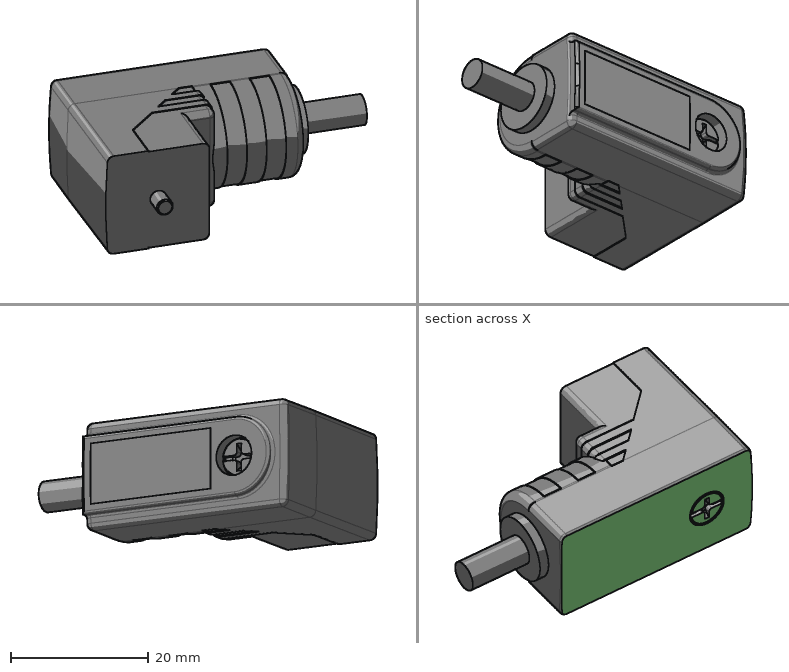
import cadquery as cq
import math


HALF_HEIGHT = 8.05
SEAM_X = 10.1
BODY_FRONT_X = 1.0
BODY_TOP_Y = 25.8
BOTTOM_Y = -8.15
CROWN = 0.3
DRAFT = math.tan(math.radians(0.25))
EDGE_RADIUS = 1.0
CROWN_RADIUS = (HALF_HEIGHT ** 2 + CROWN ** 2) / (2 * CROWN)

ELBOW_END_X = 28.0
FLANGE_TOP_Y = 7.85
SHOULDER_X = 18.57
SHOULDER_TOP_Y = 12.15
RECESS_DEPTH = 0.13

STRIPES = [(SEAM_X, 11.75, 9.1), (13.2, 14.85, 6.0)]
STRIPE_WALL_WIDTH = 0.12
PANEL_LEFT_X = 16.4
PANEL_CORNER_Y = 2.9
PANEL_BOTTOM_Y = -1.5

NECK_AXIS_X = 10.37
NECK_BOTTOM_Y = 11.1
NECK_EDGE_RADIUS = 1.2
GROOVE_DEPTH = 0.14
GROOVE_WIDTH = 3.0
GROOVE_BOTTOMS_Y = [13.85, 19.87]

CABLE_AXIS_X = 10.0
CABLE_DIAMETER = 4.6
CABLE_END_Y = 37.3
COLLAR_DIAMETER = 10.25
COLLAR_TOP_Y = 27.3

PIN_DIAMETER = 2.5
PIN_END_X = 31.19
PIN_CHAMFER = 0.2

PLATE_HALF_WIDTH = 5.85
PLATE_TOP_Y = 25.7
PLATE_BACK_X = 2.0
PLATE_RADIUS = 0.45
LABEL_DEPTH = 0.13
LABEL_HALF_WIDTH = 4.53
LABEL_BOTTOM_Y = 4.0
LABEL_TOP_Y = 24.15

SCREW_HOLE_DIAMETER = 5.95
SCREW_HEAD_DIAMETER = 5.45
SCREW_HEAD_X = 1.5
SCREW_GAP_DEPTH = 0.5
SLOT_WIDTH = 0.7
SLOT_DEPTH = 0.8
CROSS_WIDTH = 0.7
CROSS_HALF_LENGTH = 2.05
CROSS_FLOOR_HALF_LENGTH = 1.2
CROSS_DEPTH = 1.2
CROSS_CORNER_RADIUS = 0.5

FAR = 100.0
MARGIN = 0.1


def box(x0, x1, y0, y1, z0, z1):
    return cq.Workplane("XY").box(x1 - x0, y1 - y0, z1 - z0, centered=False).translate((x0, y0, z0))


def disc_x(x0, x1, diameter):
    """Cylinder along X on the pin axis."""
    return cq.Workplane("YZ").workplane(offset=x0).circle(diameter / 2).extrude(x1 - x0)


def disc_y(y0, y1, axis_x, diameter):
    """Cylinder along Y at Z = 0."""
    plane = cq.Workplane("XZ", origin=(axis_x, y0, 0))
    return plane.circle(diameter / 2).extrude(y0 - y1)


def drafted_block(far_x, top_y, inset=0.0):
    """Block from the seam to far_x with a crowned bottom, narrowing away from the seam."""
    def section(plane, shrink):
        half = HALF_HEIGHT - inset - shrink
        bottom = BOTTOM_Y + inset + shrink
        return (
            plane.moveTo(top_y, -half)
            .lineTo(bottom + CROWN, -half)
            .threePointArc((bottom, 0), (bottom + CROWN, half))
            .lineTo(top_y, half)
            .close()
        )

    length = far_x - SEAM_X
    seam_section = section(cq.Workplane("YZ", origin=(SEAM_X, 0, 0)), 0)
    far_section = section(seam_section.workplane(offset=length), abs(length) * DRAFT)
    return far_section.loft(ruled=True)


def crowned_front(x_front):
    """Long cylinder whose side forms a crowned front face with its crest at x_front."""
    return disc_y(2 * BOTTOM_Y, 2 * BODY_TOP_Y, x_front + CROWN_RADIUS, 2 * CROWN_RADIUS)


def make_body():
    body = drafted_block(0, BODY_TOP_Y).intersect(crowned_front(BODY_FRONT_X))
    off_the_seam = cq.selectors.BoxSelector((-FAR, -FAR, -FAR), (SEAM_X - MARGIN, FAR, FAR))
    return body.edges(off_the_seam).fillet(EDGE_RADIUS)


def make_elbow(inset=0.0):
    shoulder_top = SHOULDER_TOP_Y - inset
    outline = (
        cq.Workplane("XY")
        .moveTo(SEAM_X, 2 * BOTTOM_Y)
        .lineTo(ELBOW_END_X, 2 * BOTTOM_Y)
        .lineTo(ELBOW_END_X, FLANGE_TOP_Y)
        .lineTo(SHOULDER_X, FLANGE_TOP_Y)
        .lineTo(SHOULDER_X, shoulder_top)
        .lineTo(SEAM_X, shoulder_top)
        .close()
        .extrude(HALF_HEIGHT, both=True)
    )
    elbow = drafted_block(ELBOW_END_X, BODY_TOP_Y, inset).intersect(outline)
    between_ends = cq.selectors.BoxSelector(
        (SEAM_X + MARGIN, -FAR, -FAR), (ELBOW_END_X - MARGIN, FAR, FAR)
    )
    inner_corner = cq.selectors.BoxSelector(
        (SHOULDER_X - MARGIN, FLANGE_TOP_Y - MARGIN, -MARGIN),
        (SHOULDER_X + MARGIN, FLANGE_TOP_Y + MARGIN, MARGIN),
    )
    return elbow.edges(cq.selectors.SubtractSelector(between_ends, inner_corner)).fillet(EDGE_RADIUS)


def recess_prism(points):
    """Prism through the full height, used to clear a recessed region of the elbow."""
    return cq.Workplane("XY").polyline(points).close().extrude(HALF_HEIGHT + MARGIN, both=True)


def stripe_section(left, right):
    """Long bar along Y whose right side slopes where a stripe meets the neighbouring rib."""
    floor_z = HALF_HEIGHT - RECESS_DEPTH
    top_z = HALF_HEIGHT + MARGIN
    floor_right = right - STRIPE_WALL_WIDTH
    return (
        cq.Workplane("XZ")
        .moveTo(left, -top_z)
        .lineTo(right, -top_z)
        .lineTo(right, -HALF_HEIGHT)
        .lineTo(floor_right, -floor_z)
        .lineTo(floor_right, floor_z)
        .lineTo(right, HALF_HEIGHT)
        .lineTo(right, top_z)
        .lineTo(left, top_z)
        .close()
        .extrude(FAR, both=True)
    )


def make_ribbed_elbow():
    """Elbow with ribs left standing above recessed stripes and a recessed panel."""
    elbow = make_elbow()
    above = SHOULDER_TOP_Y + MARGIN
    for left, right, corner_y in STRIPES:
        slanted_y = corner_y - (right - left)
        stripe = recess_prism([(left, above), (left, corner_y), (right, slanted_y), (right, above)])
        elbow = elbow.cut(stripe.intersect(stripe_section(left, right)))
    beyond = ELBOW_END_X + MARGIN
    panel_bend_x = PANEL_LEFT_X + PANEL_CORNER_Y - PANEL_BOTTOM_Y
    elbow = elbow.cut(recess_prism([
        (PANEL_LEFT_X, above),
        (PANEL_LEFT_X, PANEL_CORNER_Y),
        (panel_bend_x, PANEL_BOTTOM_Y),
        (beyond, PANEL_BOTTOM_Y),
        (beyond, above),
    ]))
    return elbow.union(make_elbow(RECESS_DEPTH))


def make_neck():
    """D-shaped neck with a rounded top end and shallow ring grooves."""
    neck = (
        cq.Workplane("XZ", origin=(0, NECK_BOTTOM_Y, 0))
        .moveTo(SEAM_X, -HALF_HEIGHT)
        .lineTo(NECK_AXIS_X, -HALF_HEIGHT)
        .threePointArc((NECK_AXIS_X + HALF_HEIGHT, 0), (NECK_AXIS_X, HALF_HEIGHT))
        .lineTo(SEAM_X, HALF_HEIGHT)
        .close()
        .extrude(NECK_BOTTOM_Y - BODY_TOP_Y)
    )
    off_the_seam = cq.selectors.BoxSelector((SEAM_X + MARGIN / 2, -FAR, -FAR), (FAR, FAR, FAR))
    neck = neck.faces(">Y").edges(off_the_seam).fillet(NECK_EDGE_RADIUS)
    groove_floor_diameter = 2 * (HALF_HEIGHT - GROOVE_DEPTH)
    for bottom in GROOVE_BOTTOMS_Y:
        top = bottom + GROOVE_WIDTH
        ring = disc_y(bottom, top, NECK_AXIS_X, 2 * (HALF_HEIGHT + MARGIN)).cut(
            disc_y(bottom, top, NECK_AXIS_X, groove_floor_diameter)
        )
        curved_side = box(NECK_AXIS_X, FAR, bottom, top, -FAR, FAR)
        neck = neck.cut(ring.intersect(curved_side))
    return neck


def add_cover_plate(housing):
    """Crowned plate, square at the top and round at the bottom, blended into the body at its base."""
    plate = (
        cq.Workplane("YZ")
        .moveTo(PLATE_TOP_Y, -PLATE_HALF_WIDTH)
        .lineTo(0, -PLATE_HALF_WIDTH)
        .threePointArc((-PLATE_HALF_WIDTH, 0), (0, PLATE_HALF_WIDTH))
        .lineTo(PLATE_TOP_Y, PLATE_HALF_WIDTH)
        .close()
        .extrude(PLATE_BACK_X)
        .intersect(crowned_front(0))
    )
    plate = plate.faces("<X").edges().fillet(PLATE_RADIUS)
    housing = housing.union(plate)
    base_edges = cq.selectors.BoxSelector(
        (BODY_FRONT_X - MARGIN, -PLATE_HALF_WIDTH - MARGIN, -PLATE_HALF_WIDTH - MARGIN),
        (BODY_FRONT_X + CROWN, BODY_TOP_Y - EDGE_RADIUS, PLATE_HALF_WIDTH + MARGIN),
    )
    return housing.edges(base_edges).fillet(PLATE_RADIUS)


def cut_label_recess(housing):
    return housing.cut(
        box(-MARGIN, LABEL_DEPTH, LABEL_BOTTOM_Y, LABEL_TOP_Y, -LABEL_HALF_WIDTH, LABEL_HALF_WIDTH)
    )


def cut_screw(housing):
    """Screw hole holding a screw head with a full-width slot and a tapered cross recess."""
    housing = housing.cut(disc_x(-MARGIN, SCREW_HEAD_X + SCREW_GAP_DEPTH, SCREW_HOLE_DIAMETER))
    head = disc_x(SCREW_HEAD_X, SCREW_HEAD_X + SCREW_GAP_DEPTH + MARGIN, SCREW_HEAD_DIAMETER)
    housing = housing.union(head)
    half_slot = SCREW_HEAD_DIAMETER / 2
    slot = box(
        SCREW_HEAD_X, SCREW_HEAD_X + SLOT_DEPTH, -half_slot, half_slot, -SLOT_WIDTH / 2, SLOT_WIDTH / 2
    )
    cross_floor_x = SCREW_HEAD_X + CROSS_DEPTH
    arm = (
        cq.Workplane("XY")
        .polyline([
            (SCREW_HEAD_X, -CROSS_HALF_LENGTH),
            (cross_floor_x, -CROSS_FLOOR_HALF_LENGTH),
            (cross_floor_x, CROSS_FLOOR_HALF_LENGTH),
            (SCREW_HEAD_X, CROSS_HALF_LENGTH),
        ])
        .close()
        .extrude(CROSS_WIDTH / 2, both=True)
    )
    cross = arm.union(arm.rotate((0, 0, 0), (1, 0, 0), 90))
    inner = CROSS_WIDTH / 2 + MARGIN
    inner_corners = cq.selectors.BoxSelector((-FAR, -inner, -inner), (FAR, inner, inner))
    cross = cross.edges("|X").edges(inner_corners).fillet(CROSS_CORNER_RADIUS)
    return housing.cut(slot).cut(cross)


def make_cable():
    cable = disc_y(BODY_TOP_Y - EDGE_RADIUS, CABLE_END_Y, CABLE_AXIS_X, CABLE_DIAMETER)
    collar = disc_y(BODY_TOP_Y - EDGE_RADIUS, COLLAR_TOP_Y, SEAM_X, COLLAR_DIAMETER)
    return cable.union(collar)


def make_pin():
    return disc_x(ELBOW_END_X - EDGE_RADIUS, PIN_END_X, PIN_DIAMETER).faces(">X").chamfer(PIN_CHAMFER)


housing = make_body().union(make_ribbed_elbow()).union(make_neck())
housing = add_cover_plate(housing)
housing = cut_label_recess(housing)
housing = cut_screw(housing)
result = housing.union(make_cable()).union(make_pin())